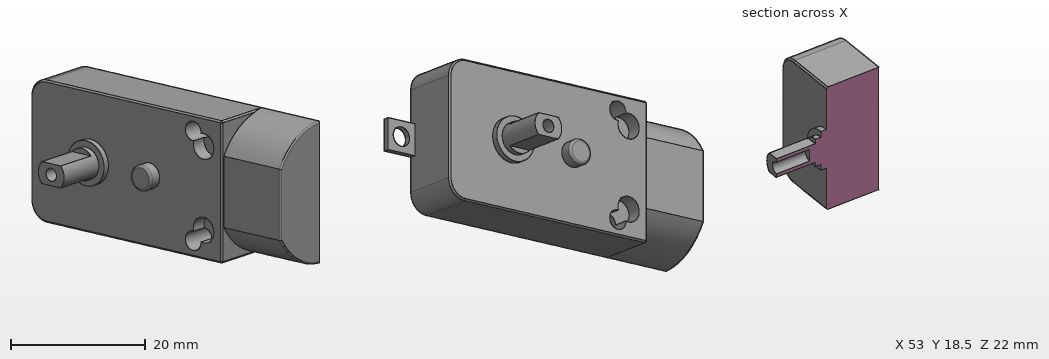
import cadquery as cq
import math

total_length = 53.0
total_height = 22.0
total_depth = 18.5

case_depth = 9.5
case_corner_radius = 3.0
case_edge_chamfer = 0.25
case_end_x = 42.05

tab_size = 5.0
tab_thickness = 1.0
tab_hole_diameter = 3.0

motor_depth = 9.0
motor_flat_height = 11.0
motor_edge_radius = 0.25

shaft_x = 16.55
shaft_diameter = 5.0
shaft_flat_width = 3.4
shaft_flat_start = 2.0
shaft_bore_diameter = 2.0
shaft_bore_depth = 6.0
collar_diameter = 7.0
collar_height = 1.0

pin_x = 28.0
pin_diameter = 4.0
pin_height = 2.0
pin_edge_radius = 0.35

screw_hole_diameter = 3.0
screw_hole_x = 36.45
screw_hole_z = 8.5
recess_diameter = 4.0
recess_x = 38.5
recess_z = 6.45
recess_depth = 2.5


def front_cylinder(x, z, diameter, start, length):
    """Cylinder running toward -Y from a distance `start` in front of y = 0."""
    plane = cq.Workplane("XZ", origin=(x, -start, z))
    return plane.circle(diameter / 2).extrude(length)


def make_case():
    length = case_end_x - tab_size
    case = (
        cq.Workplane("XZ")
        .center(tab_size + length / 2, 0)
        .rect(length, total_height)
        .extrude(case_depth)
    )
    case = case.edges("|Y and <X").fillet(case_corner_radius)
    return case.faces("<Y or >X").edges("not >Y").chamfer(case_edge_chamfer)


def make_tab():
    tab = cq.Workplane("XY").box(
        2 * tab_size, tab_thickness, tab_size, centered=(False, False, True)
    ).translate((0, -tab_thickness, 0))
    hole = front_cylinder(tab_size / 2, 0, tab_hole_diameter, 0, tab_thickness)
    return tab.cut(hole)


def make_motor_end():
    half_height = total_height / 2
    half_flat = motor_flat_height / 2
    center_y = (half_height**2 - half_flat**2 - motor_depth**2) / (2 * motor_depth)
    radius = math.hypot(half_height, center_y)
    middle_y = -motor_depth / 2
    middle_z = math.sqrt(radius**2 - (middle_y - center_y) ** 2)
    start_x = case_end_x - 2 * case_edge_chamfer
    motor = (
        cq.Workplane("YZ", origin=(start_x, 0, 0))
        .moveTo(0, -half_height)
        .threePointArc((middle_y, -middle_z), (-motor_depth, -half_flat))
        .lineTo(-motor_depth, half_flat)
        .threePointArc((middle_y, middle_z), (0, half_height))
        .close()
        .extrude(total_length - start_x)
    )
    return motor.faces(">X").edges("not >Y").fillet(motor_edge_radius)


def make_shaft():
    shaft_length = total_depth - case_depth
    collar = front_cylinder(shaft_x, 0, collar_diameter, case_depth, collar_height)
    shaft = front_cylinder(shaft_x, 0, shaft_diameter, case_depth, shaft_length)
    flat_length = shaft_length - shaft_flat_start
    for side in (-1, 1):
        flat_cut = cq.Workplane("XY").box(shaft_diameter, flat_length, shaft_diameter).translate(
            (shaft_x, -total_depth + flat_length / 2, side * (shaft_flat_width + shaft_diameter) / 2)
        )
        shaft = shaft.cut(flat_cut)
    bore_start = total_depth - shaft_bore_depth
    bore = front_cylinder(shaft_x, 0, shaft_bore_diameter, bore_start, shaft_bore_depth)
    return collar.union(shaft).cut(bore)


def make_pin():
    pin = front_cylinder(pin_x, 0, pin_diameter, case_depth, pin_height)
    return pin.faces("<Y").edges().fillet(pin_edge_radius)


def cut_mounting_holes(body):
    for side in (-1, 1):
        hole = front_cylinder(screw_hole_x, side * screw_hole_z, screw_hole_diameter, 0, case_depth)
        recess = front_cylinder(
            recess_x, side * recess_z, recess_diameter, case_depth - recess_depth, recess_depth
        )
        body = body.cut(hole).cut(recess)
    return body


housing = make_case().union(make_tab()).union(make_motor_end())
housing = cut_mounting_holes(housing)
result = housing.union(make_shaft()).union(make_pin())